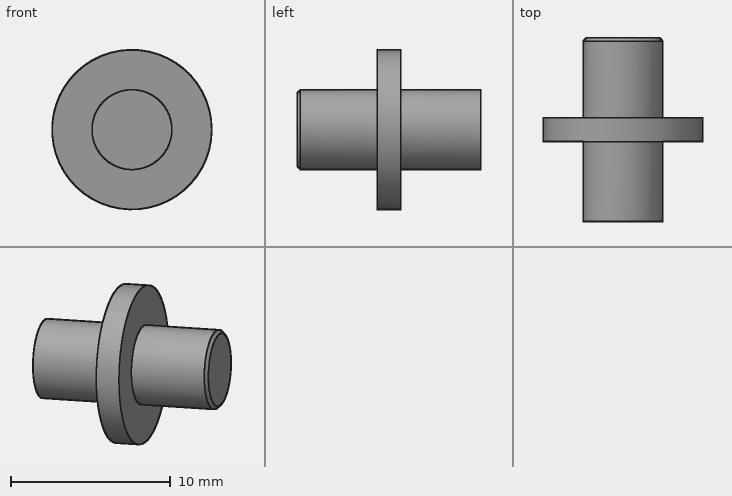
import cadquery as cq

total_length = 11.5
flange_thickness = 1.5
flange_diameter = 10.0
shaft_diameter = flange_diameter / 2
chamfer_size = 0.21

shaft = (
    cq.Workplane("XZ", origin=(0, -total_length / 2, 0))
    .circle(shaft_diameter / 2)
    .extrude(-total_length)
    .faces(">Y")
    .chamfer(chamfer_size)
)

flange = (
    cq.Workplane("XZ", origin=(0, -flange_thickness / 2, 0))
    .circle(flange_diameter / 2)
    .extrude(-flange_thickness)
)

result = shaft.union(flange)